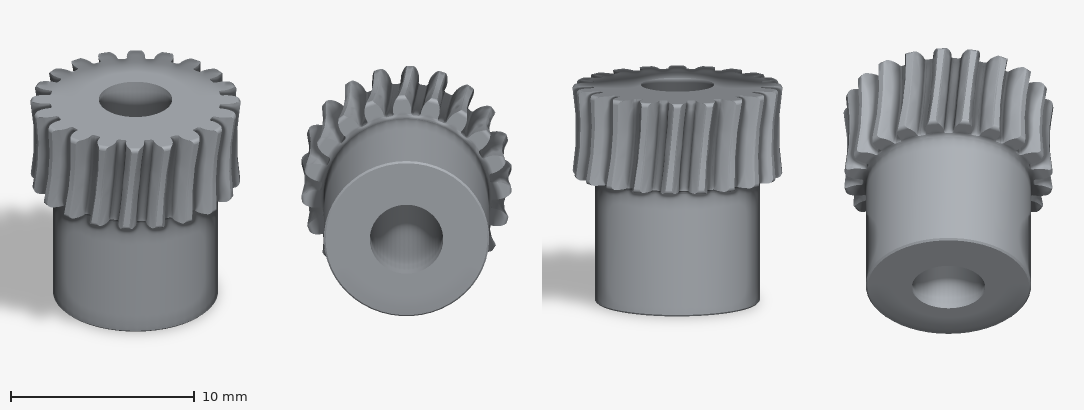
import cadquery as cq
import math

total_height = 12.0
shaft_diameter = 9.0
bore_diameter = 4.0
shaft_chamfer = 0.1
neck_fillet = 0.19
face_width = 5.0

tooth_count = 20
outer_radius = 5.71
throat_arc_radius = 14.04
rim_round = 0.22
tooth_twist = 5.0

root_depth = 1.12
root_half_width = 0.26
root_fillet = 0.13
flank_middle_depth = 0.48
flank_middle_half_width = 0.38
flank_top_depth = 0.13
flank_top_half_width = 0.65
tip_half_width = 0.72
cutter_clearance = 0.18

section_count = 3
end_overrun = 0.12

shaft_radius = shaft_diameter / 2
bore_radius = bore_diameter / 2
gear_bottom = total_height - face_width
gear_middle = gear_bottom + face_width / 2
half_rim = face_width / 2 - rim_round


def throat_rise(height):
    """Radial growth of the throat at a height above or below the gear's middle plane."""
    return throat_arc_radius - math.sqrt(throat_arc_radius**2 - height**2)


throat_radius = outer_radius - throat_rise(half_rim)


def make_blank():
    """Bored shaft and gear blank with a neck fillet, concave rim and rounded rim edges."""
    face_radius = outer_radius - rim_round
    rim_bottom = gear_middle - half_rim
    rim_top = gear_middle + half_rim
    round_reach = rim_round * math.sqrt(0.5)
    neck_inset = neck_fillet * (1 - math.sqrt(0.5))
    return (
        cq.Workplane("XZ")
        .moveTo(bore_radius, 0)
        .lineTo(shaft_radius - shaft_chamfer, 0)
        .lineTo(shaft_radius, shaft_chamfer)
        .lineTo(shaft_radius, gear_bottom - neck_fillet)
        .threePointArc(
            (shaft_radius + neck_inset, gear_bottom - neck_inset),
            (shaft_radius + neck_fillet, gear_bottom),
        )
        .lineTo(face_radius, gear_bottom)
        .threePointArc((face_radius + round_reach, rim_bottom - round_reach), (outer_radius, rim_bottom))
        .threePointArc((throat_radius, gear_middle), (outer_radius, rim_top))
        .threePointArc((face_radius + round_reach, rim_top + round_reach), (face_radius, total_height))
        .lineTo(bore_radius, total_height)
        .close()
        .revolve(360, (0, 0, 0), (0, 1, 0))
    )


def gap_section(height):
    """Closed outline of one tooth gap at a height from the middle plane."""
    tip = throat_radius + throat_rise(height)
    root = tip - root_depth
    floor_half_width = root_half_width - root_fillet
    fillet_inset = root_fillet * (1 - math.sqrt(0.5))

    fillet_middle = (root + fillet_inset, root_half_width - fillet_inset)
    flank_bottom = (root + root_fillet, root_half_width)
    flank_middle = (tip - flank_middle_depth, flank_middle_half_width)
    flank_top = (tip - flank_top_depth, flank_top_half_width)
    bevel_rise = math.sqrt(tip**2 - tip_half_width**2) - flank_top[0]
    bevel_slope = (tip_half_width - flank_top_half_width) / bevel_rise
    outside = tip + cutter_clearance
    bevel_end = (outside, flank_top_half_width + bevel_slope * (outside - flank_top[0]))

    def mirrored(point):
        return (point[0], -point[1])

    outline = (
        cq.Workplane("XY")
        .moveTo(root, -floor_half_width)
        .lineTo(root, floor_half_width)
        .threePointArc(fillet_middle, flank_bottom)
        .threePointArc(flank_middle, flank_top)
        .lineTo(*bevel_end)
        .lineTo(*mirrored(bevel_end))
        .lineTo(*mirrored(flank_top))
        .threePointArc(mirrored(flank_middle), mirrored(flank_bottom))
        .threePointArc(mirrored(fillet_middle), (root, -floor_half_width))
        .close()
    )
    twist = tooth_twist * height / face_width
    placed = outline.val().rotate(cq.Vector(0, 0, 0), cq.Vector(0, 0, 1), twist)
    return placed.translate(cq.Vector(0, 0, gear_middle + height))


def make_gap_cutter():
    """Twisted cutter that follows the throat, centred half a pitch away from +X."""
    reach = face_width / 2 + end_overrun
    step = 2 * reach / (section_count - 1)
    sections = [gap_section(-reach + i * step) for i in range(section_count)]
    half_pitch = 180 / tooth_count
    return cq.Workplane(cq.Solid.makeLoft(sections)).rotate((0, 0, 0), (0, 0, 1), half_pitch)


def cut_teeth(blank):
    """Cut the ring of evenly spaced gaps."""
    cutter = make_gap_cutter()
    for i in range(tooth_count):
        blank = blank.cut(cutter.rotate((0, 0, 0), (0, 0, 1), i * 360 / tooth_count))
    return blank


result = cq.Workplane(cut_teeth(make_blank()).solids().val())